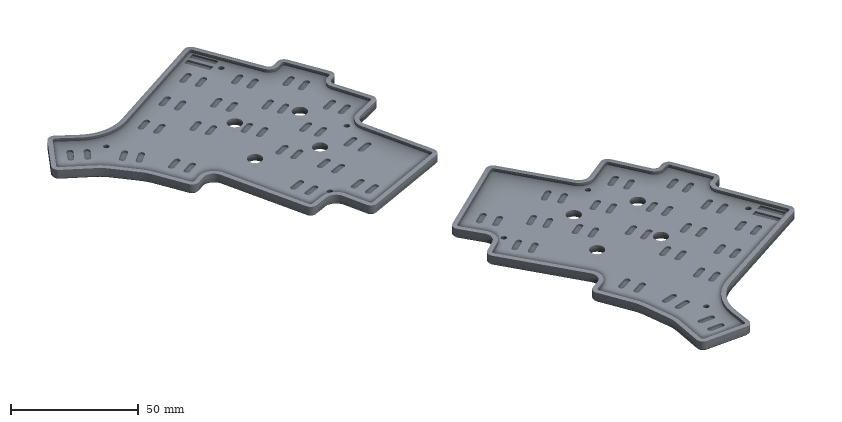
import cadquery as cq
import math


case_height = 4.5
wall_thickness = 2.0
recess_depth = 1.5
bottom_chamfer = 0.75

ring_column_tilt = -4
outer_column_tilt = -8
tucked_thumb_tilt = 15
far_thumb_tilt = 30

key_pitch = 18.5
slot_spacing = 6.7
slot_width = 2.68
slot_length = 7.5
slot_depth = 1.0

bar_length = 11.3
bar_width = 2.7
bar_centers = [(-123.3, 43.2), (-123.3, 38.7)]

foot_diameter = 6.5
foot_centers = [(-73.5, 26.2), (-92.5, 7.5), (-55.0, 6.7), (-74.3, -12.0)]
screw_diameter = 2.6
screw_centers = [(-114.5, 40.5), (-52.5, 25.0), (-37.8, -20.0), (-130.3, -29.5)]

outer_radius = 3.0
step_radius = 2.5
notch_radius = 4.5
thumb_bend_radius = 18.3
thumb_sweep_radius = 20.0

outline_corners = [
    ((-132.5, 47.2), outer_radius),
    ((-96.0, 47.2), step_radius),
    ((-96.0, 55.0), outer_radius),
    ((-71.3, 55.0), outer_radius),
    ((-71.3, 47.8), step_radius),
    ((-48.7, 46.3), outer_radius),
    ((-50.0, 27.7), notch_radius),
    ((-10.5, 22.2), outer_radius),
    ((-16.7, -25.0), outer_radius),
    ((-35.3, -22.2), notch_radius),
    ((-37.5, -36.2), outer_radius),
    ((-85.5, -29.5), notch_radius),
    ((-85.5, -41.7), outer_radius),
    ((-107.0, -41.7), thumb_bend_radius),
    ((-124.0, -46.0), thumb_bend_radius),
    ((-141.0, -56.3), outer_radius),
    ((-153.5, -35.0), outer_radius),
    ((-132.5, -23.0), thumb_sweep_radius),
]

key_columns = [
    ((-120.5, 9.5), 3, 0),
    ((-102.0, 17.5), 3, 0),
    ((-83.5, 25.0), 3, 0),
    ((-63.0, 16.7), 3, ring_column_tilt),
    ((-45.5, -3.7), 3, outer_column_tilt),
    ((-27.0, -11.0), 1, outer_column_tilt),
    ((-97.7, -29.0), 1, 0),
    ((-118.0, -31.7), 1, tucked_thumb_tilt),
    ((-137.3, -39.5), 1, far_thumb_tilt),
]

floor_height = case_height - recess_depth


def rounded_block():
    """The outline at full height, with its upright edges rounded."""
    points = [point for point, _ in outline_corners]
    block = cq.Workplane("XY").polyline(points).close().extrude(case_height)
    for (x, y), radius in outline_corners:
        corner = cq.selectors.NearestToPointSelector((x, y, case_height / 2))
        block = block.edges("|Z").edges(corner).fillet(radius)
    return block


def tray():
    """A chamfered block hollowed from above, leaving an even wall around the floor."""
    block = rounded_block()
    recess = (
        block.faces(">Z").wires().toPending()
        .offset2D(-wall_thickness)
        .extrude(-recess_depth, combine=False)
    )
    return block.faces("<Z").edges().chamfer(bottom_chamfer).cut(recess)


def key_slots(column_center, key_count, tilt):
    """Cutters for the slot pairs of one column, centred on the column."""
    angle = math.radians(tilt)
    across = cq.Vector(math.cos(angle), math.sin(angle))
    down = cq.Vector(math.sin(angle), -math.cos(angle))
    middle_row = (key_count - 1) / 2
    centers = []
    for row in range(key_count):
        key_center = cq.Vector(*column_center) + down * ((row - middle_row) * key_pitch)
        for side in (-0.5, 0.5):
            centers.append(key_center + across * (side * slot_spacing))
    return (
        cq.Workplane("XY", origin=(0, 0, floor_height))
        .pushPoints([center.toTuple()[:2] for center in centers])
        .slot2D(slot_length, slot_width, 90 + tilt)
        .extrude(-slot_depth)
    )


def bar_pockets():
    """Cutters for the two rectangular pockets."""
    return (
        cq.Workplane("XY", origin=(0, 0, floor_height))
        .pushPoints(bar_centers)
        .rect(bar_length, bar_width)
        .extrude(-slot_depth)
    )


def through_holes(centers, diameter):
    """Cutters for round holes through the floor."""
    return cq.Workplane("XY").pushPoints(centers).circle(diameter / 2).extrude(case_height)


def left_case():
    """The left tray with its slots, pockets and holes."""
    case = tray()
    for column_center, key_count, tilt in key_columns:
        case = case.cut(key_slots(column_center, key_count, tilt))
    case = case.cut(bar_pockets())
    case = case.cut(through_holes(foot_centers, foot_diameter))
    return case.cut(through_holes(screw_centers, screw_diameter))


left = left_case()
right = left.mirror("YZ")

result = cq.Compound.makeCompound([left.val(), right.val()])